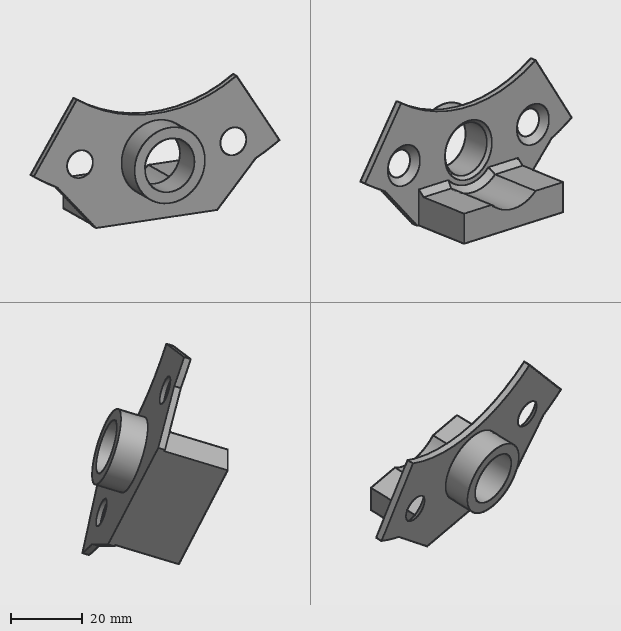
import cadquery as cq
import math

plate_thickness = 2.0
plate_height = 38.24
ring_outer_radius = 70.0
ring_inner_radius = 45.4
outer_corner_y = 38.47
inner_corner_y = 25.0
shoulder_y = 31.0
foot_half_width = 18.95

ring_center_z = plate_height + math.sqrt(ring_inner_radius**2 - inner_corner_y**2)

boss_length = 8.0
boss_diameter = 22.0
bore_diameter = 15.5
bore_chamfer = 1.0
bore_z = 17.8

screw_hole_diameter = 8.0
countersink_diameter = 12.0
screw_hole_y = 24.0
screw_hole_z = 19.3

ledge_length = 19.0
ledge_width = 36.9
ledge_height = 9.0
bevel_length = 2.0
bevel_rise = 1.75

trough_radius = 12.0


def lower_arc_z(y):
    """Height of the ring's outer (lower) arc at a given Y."""
    return ring_center_z - math.sqrt(ring_outer_radius**2 - y**2)


def revolve_on_x(profile, y, z):
    """Revolve an (x, radius) profile about the line along X through (y, z)."""
    solid = cq.Workplane("XY").polyline(profile).close().revolve(360, (0, 0, 0), (1, 0, 0))
    return solid.translate((0, y, z))


def make_plate():
    mid_arc_y = (outer_corner_y + shoulder_y) / 2
    return (
        cq.Workplane("YZ")
        .moveTo(-foot_half_width, 0)
        .lineTo(foot_half_width, 0)
        .lineTo(shoulder_y, lower_arc_z(shoulder_y))
        .threePointArc((mid_arc_y, lower_arc_z(mid_arc_y)), (outer_corner_y, lower_arc_z(outer_corner_y)))
        .lineTo(inner_corner_y, plate_height)
        .threePointArc((0, ring_center_z - ring_inner_radius), (-inner_corner_y, plate_height))
        .lineTo(-outer_corner_y, lower_arc_z(outer_corner_y))
        .threePointArc((-mid_arc_y, lower_arc_z(mid_arc_y)), (-shoulder_y, lower_arc_z(shoulder_y)))
        .close()
        .extrude(plate_thickness)
    )


def make_ledge():
    profile = [
        (0, 0),
        (-ledge_length, 0),
        (-ledge_length, ledge_height),
        (-bevel_length, ledge_height),
        (0, ledge_height + bevel_rise),
    ]
    ledge = cq.Workplane("XZ").polyline(profile).close().extrude(ledge_width / 2, both=True)
    trough_profile = [
        (-ledge_length, 0),
        (-ledge_length, trough_radius),
        (-bevel_length, trough_radius),
        (0, trough_radius - bevel_rise),
        (0, 0),
    ]
    return ledge.cut(revolve_on_x(trough_profile, 0, bore_z))


def make_boss():
    return (
        cq.Workplane("YZ", origin=(plate_thickness, 0, bore_z))
        .circle(boss_diameter / 2)
        .extrude(boss_length)
    )


def make_bore():
    bore_radius = bore_diameter / 2
    bore_end = plate_thickness + boss_length
    profile = [
        (0, 0),
        (0, bore_radius + bore_chamfer),
        (bore_chamfer, bore_radius),
        (bore_end, bore_radius),
        (bore_end, 0),
    ]
    return revolve_on_x(profile, 0, bore_z)


def make_screw_hole(y):
    profile = [
        (0, 0),
        (0, countersink_diameter / 2),
        (plate_thickness, screw_hole_diameter / 2),
        (plate_thickness, 0),
    ]
    return revolve_on_x(profile, y, screw_hole_z)


result = make_plate().union(make_ledge()).union(make_boss()).cut(make_bore())
for hole_y in (-screw_hole_y, screw_hole_y):
    result = result.cut(make_screw_hole(hole_y))